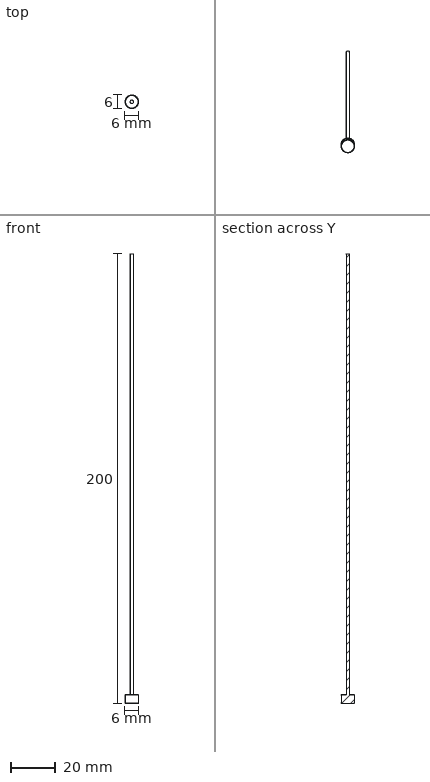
import cadquery as cq

total_length = 200.0
head_diameter = 6.0
head_height = 4.0
head_chamfer = 0.2
shank_diameter = 1.5
neck_fillet_radius = 0.3


def make_head():
    """Cylindrical head with both rims chamfered."""
    head = cq.Workplane("XY").circle(head_diameter / 2).extrude(head_height)
    return head.faces("<Z or >Z").edges().chamfer(head_chamfer)


def add_shank(head):
    """Plain cylindrical shank rising from the head to the tip."""
    shank_length = total_length - head_height
    return head.faces(">Z").workplane().circle(shank_diameter / 2).extrude(shank_length)


def fillet_neck(pin):
    """Round the inside corner where the shank meets the head."""
    neck_point = (shank_diameter / 2, 0, head_height)
    head_top = pin.faces(cq.selectors.NearestToPointSelector(neck_point))
    neck_edge = head_top.edges(cq.selectors.RadiusNthSelector(0))
    return neck_edge.fillet(neck_fillet_radius)


result = fillet_neck(add_shank(make_head()))